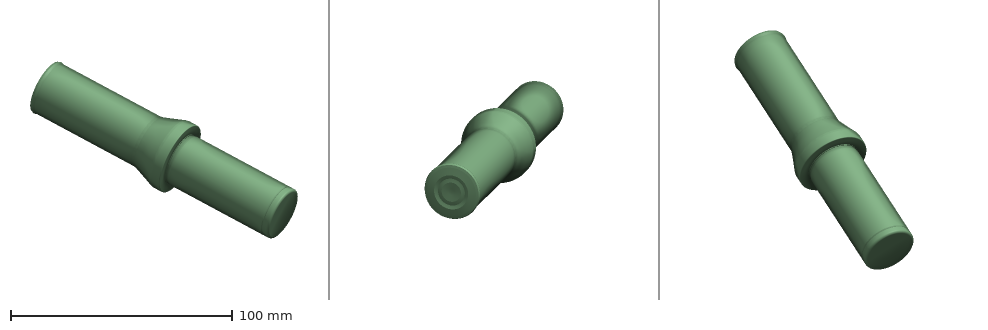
import cadquery as cq

TOTAL_LENGTH = 130.0
GRIP_LENGTH = 73.8

BARREL_RADIUS = 12.7
BEAD_RADIUS = 13.1
BEAD_CREST = 1.8
BEAD_END = 3.0
BEAD_CORNER_START = 0.8
BEAD_CORNER_RADIUS = 12.7
CONE_START = 56.8
CONE_END = 68.8
FLANGE_RADIUS = 17.0
CONE_BLEND_RADIUS = 4.8
FLANGE_BLEND_RADIUS = 3.4
FLANGE_EDGE_ROUND = 0.4

FACE_RADIUS = 11.6
FACE_SETBACK = 0.5
RIM_RADIUS = 8.0
GROOVE_RADIUS = 6.4
GROOVE_DEPTH = 0.5
DISH_RADIUS = 4.5
DISH_EDGE_DEPTH = 0.3
DISH_DEPTH = 0.6

SHANK_RADIUS = 12.5
NECK_RADIUS = 12.2
NECK_START = 74.2
NECK_END = 75.0
NECK_TAPER_END = 76.2
RING_GROOVE_START = 126.1
RING_GROOVE_END = 126.9
END_ROUND = 1.2


def revolve_about_x(outline):
    """Turn a closed (x, radius) outline around the X axis."""
    return outline.close().revolve(360, (0, 0, 0), (1, 0, 0))


def at_position(x):
    """Selector for the circular edge centred on the axis at x."""
    margin = 0.06
    reach = 2 * FLANGE_RADIUS
    return cq.selectors.BoxSelector((x - margin, -reach, -reach), (x + margin, reach, reach))


def make_grip():
    grip = revolve_about_x(
        cq.Workplane("XY")
        .moveTo(DISH_DEPTH, 0)
        .lineTo(DISH_EDGE_DEPTH, DISH_RADIUS)
        .lineTo(GROOVE_DEPTH, GROOVE_RADIUS)
        .lineTo(0, RIM_RADIUS)
        .lineTo(FACE_SETBACK, FACE_RADIUS)
        .lineTo(BEAD_CORNER_START, BEAD_CORNER_RADIUS)
        .lineTo(BEAD_CREST, BEAD_RADIUS)
        .lineTo(BEAD_END, BARREL_RADIUS)
        .lineTo(CONE_START, BARREL_RADIUS)
        .lineTo(CONE_END, FLANGE_RADIUS)
        .lineTo(GRIP_LENGTH, FLANGE_RADIUS)
        .lineTo(GRIP_LENGTH, 0)
    )
    grip = grip.edges(at_position(CONE_START)).fillet(CONE_BLEND_RADIUS)
    grip = grip.edges(at_position(CONE_END)).fillet(FLANGE_BLEND_RADIUS)
    return grip.edges(at_position(GRIP_LENGTH)).fillet(FLANGE_EDGE_ROUND)


def make_shank():
    shank = revolve_about_x(
        cq.Workplane("XY")
        .moveTo(GRIP_LENGTH, 0)
        .lineTo(GRIP_LENGTH, SHANK_RADIUS)
        .lineTo(NECK_START, SHANK_RADIUS)
        .lineTo(NECK_START, NECK_RADIUS)
        .lineTo(NECK_END, NECK_RADIUS)
        .lineTo(NECK_TAPER_END, SHANK_RADIUS)
        .lineTo(RING_GROOVE_START, SHANK_RADIUS)
        .lineTo((RING_GROOVE_START + RING_GROOVE_END) / 2, NECK_RADIUS)
        .lineTo(RING_GROOVE_END, SHANK_RADIUS)
        .lineTo(TOTAL_LENGTH, SHANK_RADIUS)
        .lineTo(TOTAL_LENGTH, 0)
    )
    return shank.edges(at_position(TOTAL_LENGTH)).fillet(END_ROUND)


grip = make_grip()
shank = make_shank()

result = cq.Compound.makeCompound([grip.val(), shank.val()])